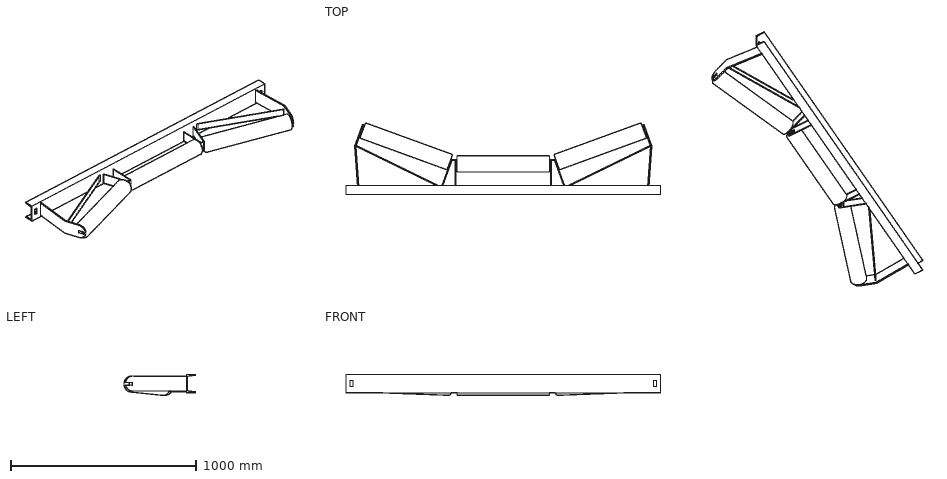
import cadquery as cq
import math


channel_length = 1700.0
channel_height = 100.0
channel_width = 50.0
web_thickness = 6.0
flange_thickness = 8.5
flange_slope = 0.08
root_radius = 8.5
toe_radius = 4.5
mount_slot_size = (15.0, 31.0)
mount_slot_from_end = 30.0

roller_radius = 44.5
roller_length = 500.0
roller_edge_radius = 5.0
shaft_radius = 10.0
shaft_flat_width = 14.0
slot_overrun = 1.0
trough_angle = 20.0
forward_tilt = 2.0
center_roller_y = 167.0
center_roller_z = 30.0
wing_roller_x = 524.0
wing_roller_y = 261.38

outer_thickness = 8.0
outer_bar_width = 80.0
outer_bend_radius = 8.0
outer_gap = 5.0
outer_bend_y = 262.0
outer_head_drop = 9.0
outer_foot_x = 788.0

inner_thickness = 5.0
inner_bar_width = 60.0
inner_bar_bottom = 4.0
inner_center_gap = 5.0
inner_wing_gap = 3.5
inner_top_y = 191.0

strut_thickness = 5.0
strut_width = 40.0
strut_foot_x = 351.0
strut_angle = 26.0

trough = math.radians(trough_angle)
tilt = math.radians(forward_tilt)
wing_along = cq.Vector(math.cos(trough), math.sin(trough), 0)
wing_up = cq.Vector(-math.sin(trough), math.cos(trough), 0)
wing_axis = wing_along * math.cos(tilt) + cq.Vector(0, 0, math.sin(tilt))
wing_roller_z = center_roller_z + roller_length / 2 * math.sin(tilt)
wing_center = cq.Vector(wing_roller_x, wing_roller_y, wing_roller_z)
wing_half_run = roller_length / 2 * math.cos(tilt)
mid_z = channel_height / 2

center_reach = inner_center_gap + inner_thickness
wing_low_reach = inner_wing_gap + inner_thickness
wing_high_reach = outer_gap + outer_thickness

center_plane = cq.Plane((0, center_roller_y, center_roller_z), xDir=(0, 1, 0), normal=(1, 0, 0))
wing_plane = cq.Plane(wing_center, xDir=wing_up, normal=wing_axis)


def wing_point(along, up):
    """Point in the XY plane, measured from the wing roller centre along and square to its axis."""
    point = wing_center + wing_along * along + wing_up * up
    return (point.x, point.y)


def meet(start, direction, other_start, other_direction):
    """Point where two lines in the XY plane cross."""
    cross = direction[0] * other_direction[1] - direction[1] * other_direction[0]
    gap = (other_start[0] - start[0], other_start[1] - start[1])
    reach = (gap[0] * other_direction[1] - gap[1] * other_direction[0]) / cross
    return (start[0] + reach * direction[0], start[1] + reach * direction[1])


def bar(outline, bottom, width):
    return cq.Workplane("XY").workplane(offset=bottom).polyline(outline).close().extrude(width)


def nearest(point):
    return cq.selectors.NearestToPointSelector(point)


def both_sides(body):
    return [body, body.mirror("YZ")]


def make_channel():
    toe = flange_thickness - flange_slope * channel_width / 2
    root = flange_thickness + flange_slope * (channel_width / 2 - web_thickness)
    web_face = channel_width - web_thickness
    outline = [
        (0, 0),
        (channel_width, 0),
        (channel_width, channel_height),
        (0, channel_height),
        (0, channel_height - toe),
        (web_face, channel_height - root),
        (web_face, root),
        (0, toe),
    ]
    body = (
        cq.Workplane("YZ").workplane(offset=-channel_length / 2)
        .polyline(outline).close().extrude(channel_length)
    )
    for z_toe, z_root in ((toe, root), (channel_height - toe, channel_height - root)):
        body = body.edges(nearest((0, web_face, z_root))).fillet(root_radius)
        body = body.edges(nearest((0, 0, z_toe))).fillet(toe_radius)
    slot_x = channel_length / 2 - mount_slot_from_end
    slots = (
        cq.Workplane("XZ", origin=(0, channel_width, mid_z))
        .pushPoints([(-slot_x, 0), (slot_x, 0)])
        .rect(*mount_slot_size).extrude(channel_width)
    )
    return body.cut(slots)


def make_roller(plane, low_end_reach, high_end_reach):
    """Roller with a shaft that reaches past the two roller ends by the given lengths."""
    drum = (
        cq.Workplane(plane).workplane(offset=-roller_length / 2)
        .circle(roller_radius).extrude(roller_length)
        .edges("%CIRCLE").fillet(roller_edge_radius)
    )
    shaft_length = roller_length + low_end_reach + high_end_reach
    flats = (
        cq.Workplane(plane).workplane(offset=-roller_length / 2 - low_end_reach)
        .rect(2 * shaft_radius, shaft_flat_width).extrude(shaft_length)
    )
    shaft = (
        cq.Workplane(plane).workplane(offset=-roller_length / 2 - low_end_reach)
        .circle(shaft_radius).extrude(shaft_length)
    )
    return drum.union(shaft.intersect(flats))


def shaft_slot(plane, end, length):
    """Open slot for the flats of a shaft, from the roller end (-1 low, 1 high) outwards."""
    slot_top = 2 * roller_radius
    slot_height = slot_top + shaft_radius
    return (
        cq.Workplane(plane).workplane(offset=end * roller_length / 2)
        .center(slot_height / 2 - shaft_radius, 0)
        .rect(slot_height, shaft_flat_width).extrude(end * (length + slot_overrun))
    )


outer_face = wing_half_run + outer_gap + outer_thickness
outer_bend = meet(wing_point(outer_face, 0), wing_up.toTuple(), (0, outer_bend_y), (1, 0))
outer_foot = (outer_foot_x, channel_width)
lean = math.atan2(outer_bend[0] - outer_foot[0], outer_bend[1] - outer_foot[1])
leg_direction = (math.sin(lean), math.cos(lean))
inner_foot = (outer_foot[0] - outer_thickness / math.cos(lean), channel_width)
inner_bend = meet(wing_point(wing_half_run + outer_gap, 0), wing_up.toTuple(), inner_foot, leg_direction)


def make_outer_bracket():
    outline = [
        outer_foot,
        outer_bend,
        wing_point(outer_face, -outer_head_drop),
        wing_point(wing_half_run + outer_gap, -outer_head_drop),
        inner_bend,
        inner_foot,
    ]
    body = bar(outline, mid_z - outer_bar_width / 2, outer_bar_width)
    for corner, radius in (
        (outer_bend, outer_bend_radius + outer_thickness),
        (inner_bend, outer_bend_radius),
    ):
        body = body.edges(nearest((*corner, mid_z))).fillet(radius)
    head_center = (*wing_point(wing_half_run + outer_gap, -outer_head_drop), mid_z)
    head = (
        cq.Workplane(cq.Plane(head_center, xDir=wing_up, normal=wing_along))
        .circle(outer_bar_width / 2).extrude(outer_thickness)
    )
    return body.union(head).cut(shaft_slot(wing_plane, 1, wing_high_reach))


def make_inner_bracket():
    leg_x = roller_length / 2 + inner_center_gap
    slant_near = -wing_half_run - inner_wing_gap
    slant_far = slant_near - inner_thickness
    level = (1, 0)
    slant = wing_up.toTuple()
    under_top_y = inner_top_y - inner_thickness
    outline = [
        (leg_x, channel_width),
        (leg_x, inner_top_y),
        meet(wing_point(slant_near, 0), slant, (0, inner_top_y), level),
        meet(wing_point(slant_near, 0), slant, (0, channel_width), level),
        meet(wing_point(slant_far, 0), slant, (0, channel_width), level),
        meet(wing_point(slant_far, 0), slant, (0, under_top_y), level),
        (leg_x + inner_thickness, under_top_y),
        (leg_x + inner_thickness, channel_width),
    ]
    return (
        bar(outline, inner_bar_bottom, inner_bar_width)
        .cut(shaft_slot(center_plane, 1, center_reach))
        .cut(shaft_slot(wing_plane, -1, wing_low_reach))
    )


def make_strut(outer_bracket):
    angle = math.radians(strut_angle)
    direction = (math.cos(angle), math.sin(angle))
    upper_foot = (strut_foot_x, channel_width)
    lower_foot = (strut_foot_x + strut_thickness / math.sin(angle), channel_width)
    outline = [
        upper_foot,
        lower_foot,
        meet(lower_foot, direction, inner_foot, leg_direction),
        meet(upper_foot, direction, inner_foot, leg_direction),
    ]
    return bar(outline, mid_z - strut_width / 2, strut_width).cut(outer_bracket)


channel = make_channel()
center_roller = make_roller(center_plane, center_reach, center_reach)
wing_roller = make_roller(wing_plane, wing_low_reach, wing_high_reach)

outer_bracket = make_outer_bracket()
inner_bracket = make_inner_bracket()
strut = make_strut(outer_bracket)

bodies = [channel, center_roller]
for right_body in (wing_roller, outer_bracket, inner_bracket, strut):
    bodies += both_sides(right_body)

result = cq.Compound.makeCompound([body.val() for body in bodies])